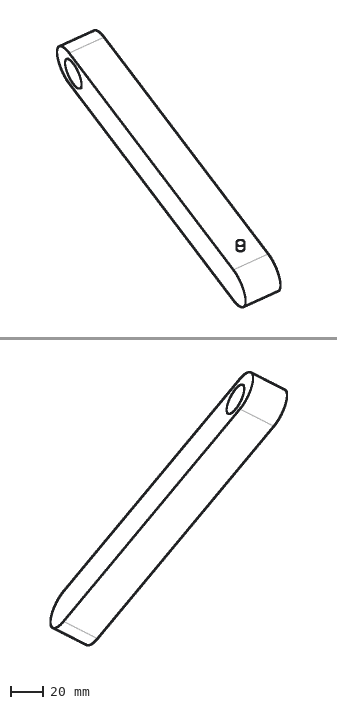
import cadquery as cq

length = 230.0
thickness = 25.0
height = 30.0
hole_diameter = 20.0
hole_from_end = 20.0
pin_diameter = 5.0
pin_height = 5.0
pin_from_end = 27.5

hole_x = -length / 2 + hole_from_end
pin_x = length / 2 - pin_from_end

bar = cq.Workplane("XZ").slot2D(length, height).extrude(thickness / 2, both=True)

hole = (
    cq.Workplane("XZ")
    .center(hole_x, 0)
    .circle(hole_diameter / 2)
    .extrude(thickness, both=True)
)

pin = (
    cq.Workplane("XY")
    .center(pin_x, 0)
    .circle(pin_diameter / 2)
    .extrude(height / 2 + pin_height)
)

result = bar.cut(hole).union(pin)